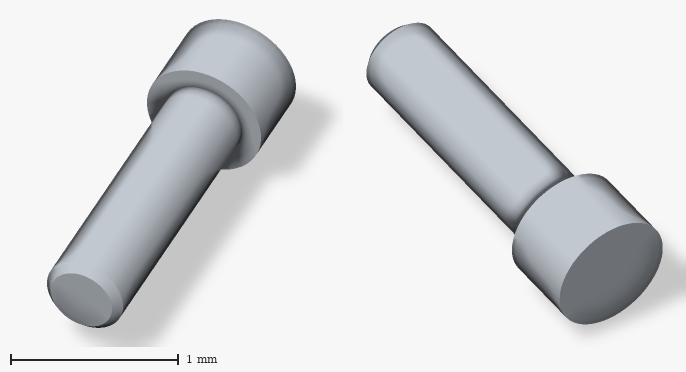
import cadquery as cq

total_length = 2.25
head_diameter = 0.75
head_length = 0.5
shank_diameter = 0.5
tip_chamfer = 0.05

shank_length = total_length - head_length


def cylinder_toward_tip(diameter, length):
    """Cylinder on the Y axis running from the plane under the head toward -Y."""
    return cq.Workplane("XZ").circle(diameter / 2).extrude(length)


shank = cylinder_toward_tip(shank_diameter, shank_length)
shank = shank.faces("<Y").chamfer(tip_chamfer)

head = cylinder_toward_tip(head_diameter, -head_length)

result = head.union(shank)